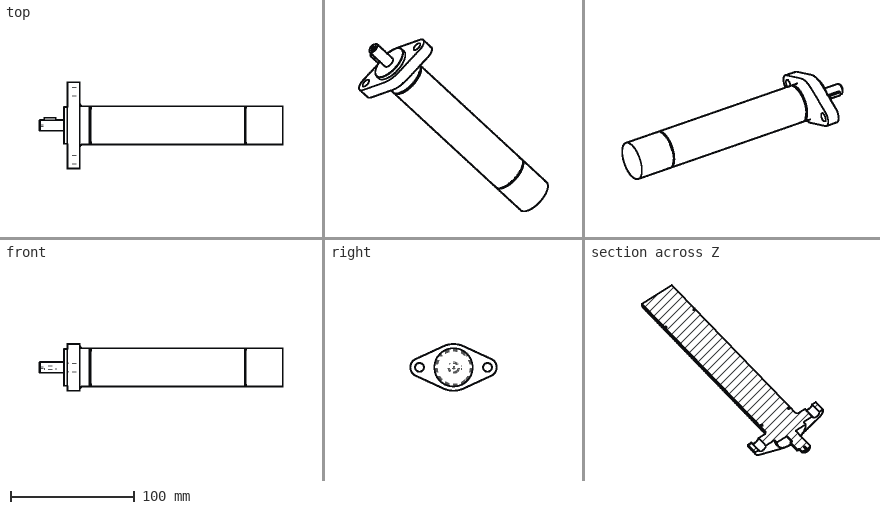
import cadquery as cq
import math

overall_length = 197.3
shaft_length = 20.0
pilot_length = 3.0
flange_thickness = 10.0
neck_length = 7.8
groove_width = 1.2
end_cap_length = 30.0
joint_width = 0.8

pilot_start = shaft_length
flange_start = pilot_start + pilot_length
flange_end = flange_start + flange_thickness
groove_start = flange_end + neck_length
housing_start = groove_start + groove_width
end_cap_start = overall_length - end_cap_length
joint_start = end_cap_start - joint_width

shaft_diameter = 9.0
pilot_diameter = 30.0
body_diameter = 31.0
groove_diameter = 26.79
joint_diameter = 28.0

shaft_chamfer = 1.0
pilot_chamfer = 0.25
neck_fillet = 2.3

flange_centre_radius = 19.0
flange_span = 70.0
bolt_spacing = 55.0
bolt_hole_diameter = 7.0
ear_radius = (flange_span - bolt_spacing) / 2

key_start = 4.2
key_length = 9.4
key_width = 3.0
key_height = 3.0
key_top = 6.3
centre_hole_diameter = 1.0
centre_hole_chamfer = 0.5
centre_hole_depth = 3.0


def cylinder(start, end, diameter):
    """Round step on the motor axis between two X positions."""
    return cq.Workplane("YZ", origin=(start, 0, 0)).circle(diameter / 2).extrude(end - start)


def make_shaft():
    """Output shaft with a chamfered tip and a countersunk centre hole."""
    shaft = cylinder(0, flange_start, shaft_diameter).faces("<X").chamfer(shaft_chamfer)
    hole_radius = centre_hole_diameter / 2
    centre_hole = (
        cq.Workplane("XY")
        .lineTo(0, hole_radius + centre_hole_chamfer)
        .lineTo(centre_hole_chamfer, hole_radius)
        .lineTo(centre_hole_depth, hole_radius)
        .lineTo(centre_hole_depth, 0)
        .close()
        .revolve(360, (0, 0, 0), (1, 0, 0))
    )
    return shaft.cut(centre_hole)


def make_key():
    """Square-ended key standing out of the +Y side of the shaft."""
    key = cq.Workplane("XY").box(key_length, key_height, key_width, centered=(False, False, True))
    return key.translate((key_start, key_top - key_height, 0))


def make_pilot():
    """Locating spigot in front of the flange."""
    pilot = cylinder(pilot_start, flange_start, pilot_diameter)
    return pilot.faces("<X").chamfer(pilot_chamfer)


def make_flange():
    """Diamond flange: a centre arc and two ear arcs joined by their common tangents."""
    ear_offset = bolt_spacing / 2
    tangent_sin = (flange_centre_radius - ear_radius) / ear_offset
    tangent_cos = math.sqrt(1 - tangent_sin**2)
    centre_y = flange_centre_radius * tangent_sin
    centre_z = flange_centre_radius * tangent_cos
    ear_y = ear_offset + ear_radius * tangent_sin
    ear_z = ear_radius * tangent_cos
    return (
        cq.Workplane("YZ", origin=(flange_start, 0, 0))
        .moveTo(-centre_y, centre_z)
        .threePointArc((0, flange_centre_radius), (centre_y, centre_z))
        .lineTo(ear_y, ear_z)
        .threePointArc((flange_span / 2, 0), (ear_y, -ear_z))
        .lineTo(centre_y, -centre_z)
        .threePointArc((0, -flange_centre_radius), (-centre_y, -centre_z))
        .lineTo(-ear_y, -ear_z)
        .threePointArc((-flange_span / 2, 0), (-ear_y, ear_z))
        .close()
        .extrude(flange_thickness)
        .faces("<X")
        .workplane(origin=(flange_start, 0, 0))
        .pushPoints([(-ear_offset, 0), (ear_offset, 0)])
        .hole(bolt_hole_diameter)
    )


def make_neck():
    """Neck behind the flange, flaring into the flange face with a concave fillet."""
    neck_radius = body_diameter / 2
    return (
        cq.Workplane("XY")
        .moveTo(flange_end, 0)
        .lineTo(flange_end, neck_radius + neck_fillet)
        .radiusArc((flange_end + neck_fillet, neck_radius), -neck_fillet)
        .lineTo(groove_start, neck_radius)
        .lineTo(groove_start, 0)
        .close()
        .revolve(360, (0, 0, 0), (1, 0, 0))
    )


def make_housing():
    """Motor body from the neck groove to the end cap, with a narrow joint groove between."""
    groove = cylinder(groove_start, housing_start, groove_diameter)
    housing = cylinder(housing_start, joint_start, body_diameter)
    joint = cylinder(joint_start, end_cap_start, joint_diameter)
    end_cap = cylinder(end_cap_start, overall_length, body_diameter)
    return groove.union(housing).union(joint).union(end_cap)


result = (
    make_flange()
    .union(make_pilot())
    .union(make_shaft())
    .union(make_key())
    .union(make_neck())
    .union(make_housing())
)